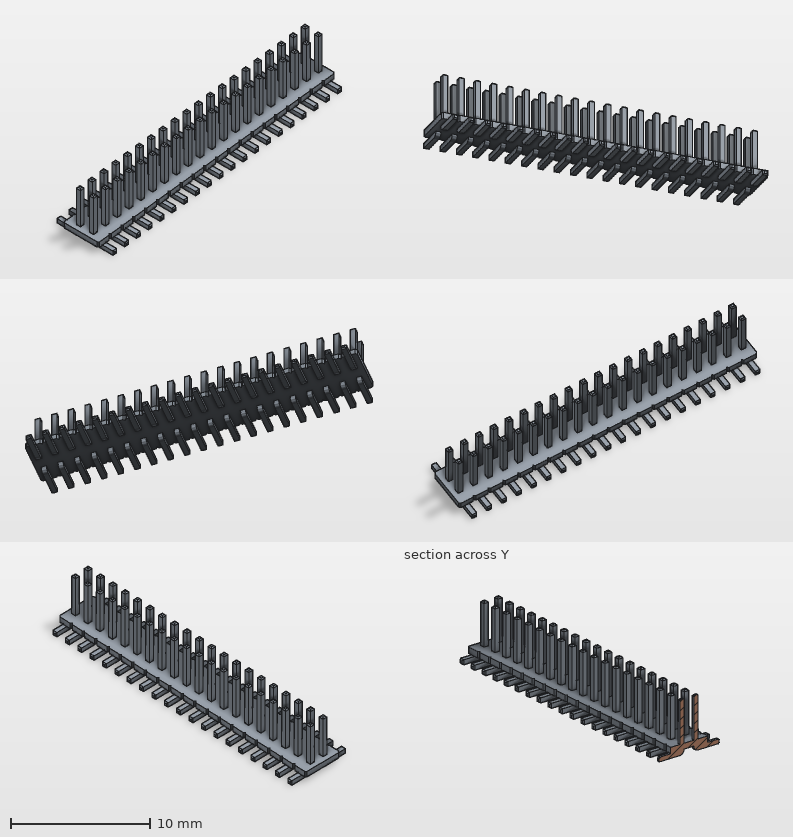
import cadquery as cq

PITCH = 1.27
ROW_SPACING = 1.27
PINS_PER_ROW = 20

SPAN_X = 5.57
HEIGHT = 4.4

WIRE = 0.4
TIP_TAPER = 0.1

BEND_RADIUS = WIRE

BODY_WIDTH = 3.4
BODY_HEIGHT = 0.5
NOTCH_DEPTH = PITCH / 10

BODY_LENGTH = PITCH * PINS_PER_ROW
BODY_BOTTOM = WIRE
PIN_X = ROW_SPACING / 2
PIN_INNER_X = PIN_X - WIRE / 2


def row_positions():
    """Y of every pin, centred on the body."""
    first = -(PINS_PER_ROW - 1) * PITCH / 2
    return [first + i * PITCH for i in range(PINS_PER_ROW)]


def make_body():
    """Flat bar with chamfered corners and a V notch between neighbours on both sides."""
    half_width = BODY_WIDTH / 2
    waist = half_width - NOTCH_DEPTH
    half_pitch = PITCH / 2
    shoulder = half_pitch - NOTCH_DEPTH

    right_edge = []
    for y in row_positions():
        right_edge.append((waist, y - half_pitch))
        right_edge.append((half_width, y - shoulder))
        right_edge.append((half_width, y + shoulder))
    right_edge.append((waist, BODY_LENGTH / 2))
    left_edge = [(-x, y) for x, y in reversed(right_edge)]

    outline = cq.Workplane("XY").workplane(offset=BODY_BOTTOM).polyline(right_edge + left_edge)
    return outline.close().extrude(BODY_HEIGHT)


def make_pin():
    """L-shaped pin of the +X row at y = 0: a foot pointing outward and an upright post."""
    foot_length = SPAN_X / 2 - PIN_INNER_X
    foot = (
        cq.Workplane("XY")
        .box(foot_length, WIRE, WIRE, centered=(False, True, False))
        .translate((PIN_INNER_X, 0, 0))
        .faces(">X")
        .chamfer(TIP_TAPER)
    )
    post = (
        cq.Workplane("XY")
        .box(WIRE, WIRE, HEIGHT, centered=(True, True, False))
        .translate((PIN_X, 0, 0))
        .faces(">Z")
        .chamfer(TIP_TAPER)
    )
    bend_edge = cq.selectors.NearestToPointSelector((PIN_INNER_X, 0, 0))
    return foot.union(post).edges(bend_edge).fillet(BEND_RADIUS)


def make_header():
    """Body with a pin and its mirror image at every position."""
    right_pin = make_pin().val()
    left_pin = right_pin.mirror("YZ")
    pins = []
    for y in row_positions():
        pins.append(right_pin.translate(cq.Vector(0, y, 0)))
        pins.append(left_pin.translate(cq.Vector(0, y, 0)))
    return cq.Workplane(make_body().val().fuse(*pins))


result = make_header()